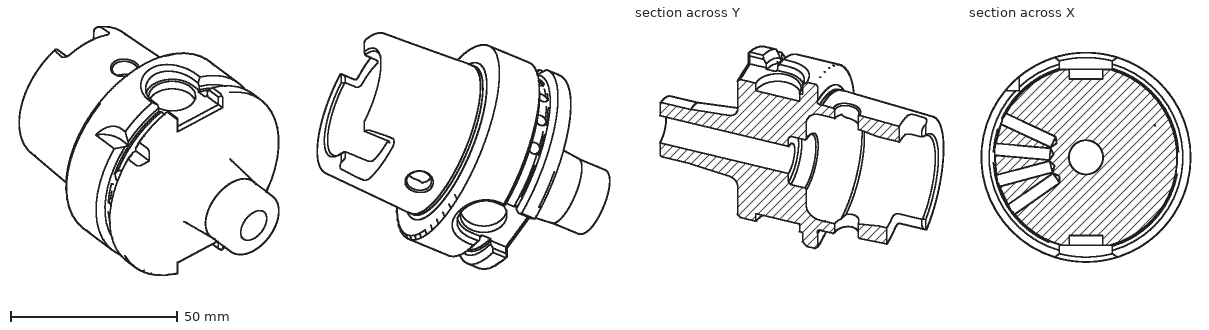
import cadquery as cq
import math

flange_start = 32.0
groove_center = 50.0
flange_end = 58.0
total_length = 83.0

shank_end_radius = 22.8
shank_root_radius = 24.15
shank_taper_length = 29.9
shank_lip_radius = 1.0
relief_start = 30.6
relief_end = 31.45
relief_depth = 0.125
root_fillet = 0.5
face_ring_radius = 25.4
face_ring_depth = 0.1

flange_radius = 31.5
flange_edge_radius = 1.0
groove_floor_radius = 27.5
groove_wall_radius = 29.1
groove_half_width = 1.8
groove_corner_radius = 0.4
groove_flank_angle = 30.0

neck_fillet = 3.0
cone_angle = 5.4
cone_end = 72.95
cone_end_radius = 10.5
nose_radius = 10.45
nose_edge_radius = 1.0

mouth_radius = 17.6
mouth_chamfer = 0.75
bore_radius = 16.9
bore_shoulder = 12.5
clamp_end = 24.3
clamp_radius = 18.8
undercut_radius = 20.1
bore_floor = 35.7
floor_fillet = 4.2
recess_mouth_radius = 9.6
recess_radius = 9.1
recess_floor_radius = 8.4
recess_depth = 5.8
through_radius = 5.105

slot_half_width = 6.2
slot_depth_top = 5.8
slot_depth_bottom = 9.8
slot_flare_height = 17.9
slot_flare_radius = 3.15
slot_floor_fillet = 1.5
slot_mouth_chamfer = 0.9

cross_hole_x = 22.8
cross_hole_diameter = 7.5
cross_hole_chamfer = 0.5

key_x = 45.0
keyway_half_width = 8.0
keyway_floor = 26.5
keyway_chamfer_shank_side = 1.5
keyway_chamfer_nose_side = 1.0
keyway_end_chamfer = 1.0
chip_hole_diameter = 14.0
chip_hole_depth = 2.9
notch_offset = 20.0
notch_corner_radius = 7.5

balance_angles = [25, 5, -15, -35]
balance_diameter = 3.5
balance_depth = 16.6
drill_tip_angle = 118.0


def revolve_about_x(profile):
    return profile.close().revolve(360, (0, 0, 0), (1, 0, 0))


def make_shank():
    relief_radius = shank_root_radius - relief_depth
    profile = (
        cq.Workplane("XZ")
        .lineTo(0, shank_end_radius - shank_lip_radius)
        .radiusArc((shank_lip_radius, shank_end_radius), shank_lip_radius)
        .lineTo(shank_taper_length, shank_root_radius)
        .lineTo(relief_start, shank_root_radius)
        .lineTo(relief_start, relief_radius)
        .lineTo(relief_end, relief_radius)
        .lineTo(relief_end, shank_root_radius)
        .lineTo(flange_start + face_ring_depth - root_fillet, shank_root_radius)
        .radiusArc((flange_start + face_ring_depth, shank_root_radius + root_fillet), -root_fillet)
        .lineTo(flange_start + face_ring_depth, 0)
    )
    return revolve_about_x(profile)


def make_flange_envelope():
    flank = (flange_radius - groove_wall_radius) * math.tan(math.radians(groove_flank_angle))
    mouth_half_width = groove_half_width + flank
    edge_radius = flange_radius - flange_edge_radius
    groove_left = groove_center - groove_half_width
    groove_right = groove_center + groove_half_width
    corner_top = groove_floor_radius + groove_corner_radius
    ring_face = flange_start + face_ring_depth
    profile = (
        cq.Workplane("XZ")
        .moveTo(ring_face, 0)
        .lineTo(ring_face, face_ring_radius)
        .lineTo(flange_start, face_ring_radius)
        .lineTo(flange_start, edge_radius)
        .radiusArc((flange_start + flange_edge_radius, flange_radius), flange_edge_radius)
        .lineTo(groove_center - mouth_half_width, flange_radius)
        .lineTo(groove_left, groove_wall_radius)
        .lineTo(groove_left, corner_top)
        .radiusArc((groove_left + groove_corner_radius, groove_floor_radius), -groove_corner_radius)
        .lineTo(groove_right - groove_corner_radius, groove_floor_radius)
        .radiusArc((groove_right, corner_top), -groove_corner_radius)
        .lineTo(groove_right, groove_wall_radius)
        .lineTo(groove_center + mouth_half_width, flange_radius)
        .lineTo(flange_end - flange_edge_radius, flange_radius)
        .radiusArc((flange_end, edge_radius), flange_edge_radius)
        .lineTo(flange_end, 0)
    )
    return revolve_about_x(profile)


def make_keyway_cutter(side):
    """U-shaped keyway, round at its shank end and open past the nose side; side is +1 or -1 in Z."""
    height = flange_radius
    run = total_length - key_x
    width = 2 * keyway_half_width
    end = cq.Workplane("XY").center(key_x, 0).circle(keyway_half_width).extrude(height)
    channel = cq.Workplane("XY").center(key_x + run / 2, 0).rect(run, width).extrude(height)
    cutter = end.union(channel).translate((0, 0, keyway_floor))
    if side < 0:
        cutter = cutter.mirror("XY")
    return cutter


def make_keyed_stock(start, end, chamfer):
    """Plain cylinder between two stations with both keyways cut and their rims chamfered."""
    stock = cq.Workplane("YZ").workplane(offset=start).circle(flange_radius).extrude(end - start)
    for side in (1, -1):
        stock = stock.cut(make_keyway_cutter(side))
    rim_height = math.sqrt(flange_radius**2 - keyway_half_width**2)
    for side in (1, -1):
        rim = cq.selectors.BoxSelector(
            (start, -keyway_half_width - 0.8, side * (rim_height - 0.1)),
            (end, keyway_half_width + 0.8, side * (flange_radius + 0.1)),
        )
        stock = stock.edges(rim).chamfer(chamfer)
    return stock


def make_keyway_end_bevel(side):
    """Tapered block that bevels the floor and both walls of a keyway where it leaves the flange."""
    width = 2 * (keyway_half_width + keyway_end_chamfer)
    bottom = keyway_floor - keyway_end_chamfer
    top = flange_radius + 2 * keyway_end_chamfer
    return (
        cq.Workplane("YZ")
        .workplane(offset=flange_end)
        .center(0, side * (bottom + top) / 2)
        .rect(width, top - bottom)
        .extrude(-keyway_end_chamfer, taper=45)
    )


def make_flange():
    shank_side = make_keyed_stock(flange_start, groove_center, keyway_chamfer_shank_side)
    nose_side = make_keyed_stock(groove_center, flange_end, keyway_chamfer_nose_side)
    flange = shank_side.union(nose_side).intersect(make_flange_envelope())
    for side in (1, -1):
        flange = flange.cut(make_keyway_end_bevel(side))
    return flange


def make_nose():
    slope = math.radians(cone_angle)
    neck_end = flange_end + neck_fillet * (1 - math.sin(slope))
    neck_end_radius = cone_end_radius + (cone_end - neck_end) * math.tan(slope)
    neck_start_radius = neck_end_radius + neck_fillet * math.cos(slope)
    profile = (
        cq.Workplane("XZ")
        .moveTo(flange_end, 0)
        .lineTo(flange_end, neck_start_radius)
        .radiusArc((neck_end, neck_end_radius), -neck_fillet)
        .lineTo(cone_end, cone_end_radius)
        .lineTo(cone_end, nose_radius)
        .lineTo(total_length - nose_edge_radius, nose_radius)
        .radiusArc((total_length, nose_radius - nose_edge_radius), nose_edge_radius)
        .lineTo(total_length, 0)
    )
    return revolve_about_x(profile)


def make_bore():
    undercut_start = clamp_end + undercut_radius - clamp_radius
    recess_floor = bore_floor + recess_depth
    profile = (
        cq.Workplane("XZ")
        .lineTo(0, mouth_radius)
        .lineTo(mouth_chamfer, bore_radius)
        .lineTo(bore_shoulder, bore_radius)
        .lineTo(clamp_end, clamp_radius)
        .lineTo(undercut_start, undercut_radius)
        .lineTo(bore_floor - floor_fillet, undercut_radius)
        .radiusArc((bore_floor, undercut_radius - floor_fillet), floor_fillet)
        .lineTo(bore_floor, recess_mouth_radius)
        .lineTo(bore_floor + recess_mouth_radius - recess_radius, recess_radius)
        .lineTo(recess_floor - (recess_radius - recess_floor_radius), recess_radius)
        .lineTo(recess_floor, recess_floor_radius)
        .lineTo(recess_floor, through_radius)
        .lineTo(total_length, through_radius)
        .lineTo(total_length, 0)
    )
    return revolve_about_x(profile)


def make_drive_slot(depth):
    """Slot above the axis whose walls flare outwards in quarter rounds near the outer surface."""
    flare_half_width = slot_half_width + slot_flare_radius
    flare_top = slot_flare_height + slot_flare_radius
    top = flange_radius
    slot = (
        cq.Workplane("YZ")
        .moveTo(-slot_half_width, 0)
        .lineTo(-slot_half_width, slot_flare_height)
        .radiusArc((-flare_half_width, flare_top), -slot_flare_radius)
        .lineTo(-flare_half_width, top)
        .lineTo(flare_half_width, top)
        .lineTo(flare_half_width, flare_top)
        .radiusArc((slot_half_width, slot_flare_height), -slot_flare_radius)
        .lineTo(slot_half_width, 0)
        .close()
        .extrude(depth)
    )
    wall_ends = cq.selectors.BoxSelector(
        (depth - 0.1, -flare_half_width - 0.1, 0.8),
        (depth + 0.1, flare_half_width + 0.1, flare_top - 0.1),
    )
    slot = slot.edges(wall_ends).fillet(slot_floor_fillet)
    mouth = (
        cq.Workplane("XY")
        .moveTo(0, -slot_half_width - slot_mouth_chamfer)
        .lineTo(slot_mouth_chamfer, -slot_half_width)
        .lineTo(slot_mouth_chamfer, slot_half_width)
        .lineTo(0, slot_half_width + slot_mouth_chamfer)
        .close()
        .extrude(top)
    )
    return slot.union(mouth)


def cut_cross_hole(shank):
    """Bore straight through both walls along Z and chamfer the outer rims."""
    drill = cq.Workplane("XY").center(cross_hole_x, 0).circle(cross_hole_diameter / 2)
    shank = shank.cut(drill.extrude(flange_radius, both=True))
    reach = cross_hole_diameter / 2
    for side in (1, -1):
        rim = cq.selectors.BoxSelector(
            (cross_hole_x - reach, -reach, side * reach),
            (cross_hole_x + reach, reach, side * flange_radius),
        )
        shank = shank.edges(rim).chamfer(cross_hole_chamfer)
    return shank


def make_chip_hole(side):
    hole = cq.Workplane("XY").center(key_x, 0).circle(chip_hole_diameter / 2).extrude(chip_hole_depth)
    hole = hole.translate((0, 0, keyway_floor - chip_hole_depth))
    if side < 0:
        hole = hole.mirror("XY")
    return hole


def make_notch():
    """Square step along X in the flange corner at -Y +Z, running out in a vertical round."""
    width = 2 * notch_corner_radius
    run = flange_end - key_x
    y_center = -notch_offset - notch_corner_radius
    end = cq.Workplane("XY").center(key_x, y_center).circle(notch_corner_radius).extrude(flange_radius)
    step = cq.Workplane("XY").center(key_x + run / 2, y_center).rect(run, width).extrude(flange_radius)
    return end.union(step).translate((0, 0, notch_offset))


def make_balance_hole(angle):
    """Drilled hole with a conical bottom, pointing to the axis from -Y, raised by the angle."""
    radius = balance_diameter / 2
    bottom = groove_floor_radius - balance_depth
    tip = bottom - radius / math.tan(math.radians(drill_tip_angle / 2))
    hole = (
        cq.Workplane("XY")
        .moveTo(0, -tip)
        .lineTo(radius, -bottom)
        .lineTo(radius, -groove_wall_radius)
        .lineTo(0, -groove_wall_radius)
        .close()
        .revolve(360, (0, 0, 0), (0, 1, 0))
        .translate((groove_center, 0, 0))
    )
    return hole.rotate((0, 0, 0), (1, 0, 0), -angle)


result = cut_cross_hole(make_shank())
result = result.union(make_flange()).union(make_nose())
result = result.cut(make_bore())
result = result.cut(make_drive_slot(slot_depth_top))
result = result.cut(make_drive_slot(slot_depth_bottom).mirror("XY"))
for z_side in (1, -1):
    result = result.cut(make_chip_hole(z_side))
result = result.cut(make_notch())
for hole_angle in balance_angles:
    result = result.cut(make_balance_hole(hole_angle))